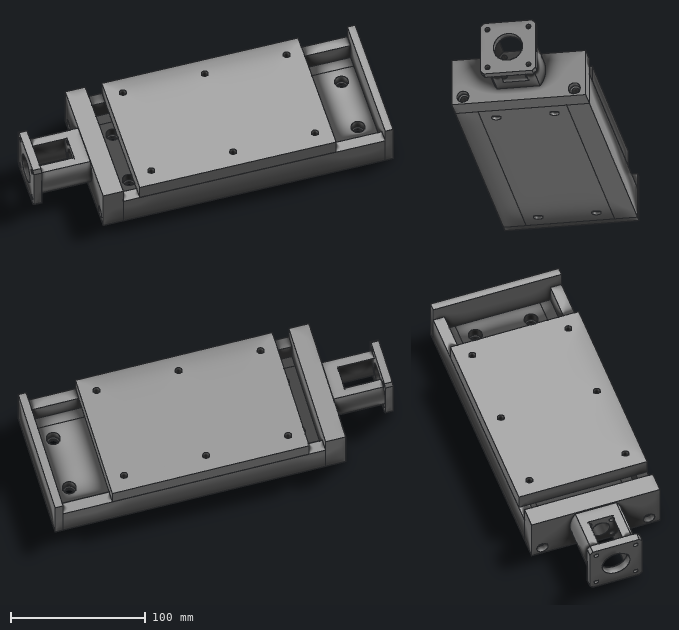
import cadquery as cq


total_length = 270.5
slide_width = 101.7
overall_height = 43.5

flange_size = 41.7
flange_thickness = 6.2
flange_chamfer = 2.5
flange_bore_diameter = 22.0
motor_hole_pitch = 31.0
motor_hole_diameter = 3.5
bracket_length = 45.2
barrel_diameter = 41.0
barrel_height = 25.2
cavity_diameter = 31.5
cavity_depth = 34.5
shaft_bore_diameter = 14.0
wall_hole_pitch_x = 17.9
wall_hole_pitch_z = 15.7
wall_hole_diameter = 4.0
shaft_axis_z = overall_height - flange_size / 2

block_thickness = 15.7
block_height = 36.5
block_hole_diameter = 5.5
block_counterbore_diameter = 9.0
block_counterbore_depth = 5.5
block_hole_z = 6.0

rear_plate_thickness = 6.2
rear_plate_height = 36.0

rail_height = 24.0
rail_wall = 9.0
rail_foot = 17.3
floor_thickness = 9.5
rail_start_y = bracket_length + block_thickness
rail_length = total_length - rear_plate_thickness - rail_start_y
base_width = slide_width - 2 * rail_foot
base_hole_pitch_x = 44.0
base_hole_pitch_y = 177.7
base_hole_diameter = 7.0
base_counterbore_diameter = 10.3
base_counterbore_depth = 6.8
base_hole_centre_y = rail_start_y + rail_length / 2

table_length = 152.5
table_thickness = 12.2
table_start_y = 73.5
table_top_z = block_height
table_hole_pitch_x = 76.0
table_hole_pitch_y = 63.5
table_hole_diameter = 5.1


def box(width, length, height, start_y, bottom_z):
    """A block centred on X = 0 that starts at start_y and stands on bottom_z."""
    return (
        cq.Workplane("XY")
        .box(width, length, height, centered=(True, False, False))
        .translate((0, start_y, bottom_z))
    )


def facing_motor(y):
    """A work plane at y on the shaft axis, whose extrusions run towards the motor end."""
    return cq.Workplane("XZ", origin=(0, y, shaft_axis_z))


def make_motor_bracket():
    """A flat-sided barrel with an open cavity, behind a square motor flange."""
    barrel_length = bracket_length - flange_thickness
    barrel = facing_motor(bracket_length).circle(barrel_diameter / 2).extrude(barrel_length)
    flats = box(barrel_diameter, bracket_length, barrel_height, 0, shaft_axis_z - barrel_height / 2)
    barrel = barrel.intersect(flats)
    cavity = facing_motor(cavity_depth).circle(cavity_diameter / 2).extrude(cavity_depth - flange_thickness)

    flange = (
        facing_motor(flange_thickness)
        .rect(flange_size, flange_size)
        .extrude(flange_thickness)
        .edges("|Y")
        .chamfer(flange_chamfer)
    )
    flange_bore = facing_motor(flange_thickness).circle(flange_bore_diameter / 2).extrude(flange_thickness)
    motor_holes = (
        facing_motor(flange_thickness)
        .rect(motor_hole_pitch, motor_hole_pitch, forConstruction=True)
        .vertices()
        .circle(motor_hole_diameter / 2)
        .extrude(flange_thickness)
    )

    end_wall = bracket_length - cavity_depth
    shaft_bore = facing_motor(bracket_length).circle(shaft_bore_diameter / 2).extrude(end_wall)
    wall_holes = (
        facing_motor(bracket_length)
        .rect(wall_hole_pitch_x, wall_hole_pitch_z, forConstruction=True)
        .vertices()
        .circle(wall_hole_diameter / 2)
        .extrude(end_wall)
    )
    bracket = barrel.cut(cavity).union(flange.cut(flange_bore).cut(motor_holes))
    return bracket.cut(shaft_bore).cut(wall_holes)


def make_front_block():
    """The block that carries the motor bracket, screwed to the feet of both rails."""
    block = box(slide_width, block_thickness, block_height, bracket_length, 0)
    hole_x = (slide_width - rail_foot) / 2
    return (
        block.copyWorkplane(cq.Workplane("XZ", origin=(0, bracket_length, block_hole_z)))
        .pushPoints([(-hole_x, 0), (hole_x, 0)])
        .cboreHole(block_hole_diameter, block_counterbore_diameter, block_counterbore_depth)
    )


def make_rear_plate():
    rear_plate_y = total_length - rear_plate_thickness
    return box(slide_width, rear_plate_thickness, rear_plate_height, rear_plate_y, 0)


def make_rail(side):
    """An L-shaped rail with its foot turned inwards; side is -1 or 1 along X."""
    outer_x = side * slide_width / 2
    wall_x = outer_x - side * rail_wall
    foot_x = outer_x - side * rail_foot
    return (
        cq.Workplane("XZ", origin=(0, rail_start_y, 0))
        .moveTo(outer_x, 0)
        .lineTo(outer_x, rail_height)
        .lineTo(wall_x, rail_height)
        .lineTo(wall_x, floor_thickness)
        .lineTo(foot_x, floor_thickness)
        .lineTo(foot_x, 0)
        .close()
        .extrude(-rail_length)
    )


def make_base_plate():
    """The floor between the rails, with four counterbored mounting holes."""
    plate = box(base_width, rail_length, floor_thickness, rail_start_y, 0)
    return (
        plate.copyWorkplane(cq.Workplane("XY", origin=(0, base_hole_centre_y, floor_thickness)))
        .rect(base_hole_pitch_x, base_hole_pitch_y, forConstruction=True)
        .vertices()
        .cboreHole(base_hole_diameter, base_counterbore_diameter, base_counterbore_depth)
    )


def make_table():
    """The moving table, just clear of the rails, with two rows of three holes."""
    table = box(slide_width, table_length, table_thickness, table_start_y, table_top_z - table_thickness)
    return (
        table.copyWorkplane(cq.Workplane("XY", origin=(0, table_start_y + table_length / 2, table_top_z)))
        .rarray(table_hole_pitch_x, table_hole_pitch_y, 2, 3)
        .hole(table_hole_diameter)
    )


motor_bracket = make_motor_bracket()
front_block = make_front_block()
rear_plate = make_rear_plate()
rails = [make_rail(side) for side in (-1, 1)]
base_plate = make_base_plate()
table = make_table()

result = cq.Compound.makeCompound(
    [
        motor_bracket.val(),
        front_block.val(),
        rear_plate.val(),
        *[rail.val() for rail in rails],
        base_plate.val(),
        table.val(),
    ]
)